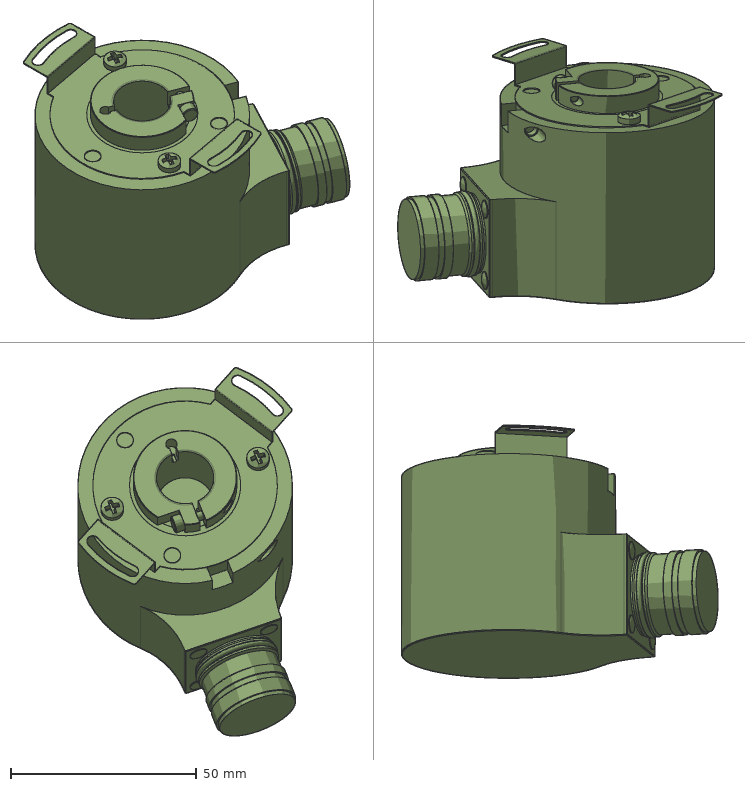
import cadquery as cq
import math


OVERSHOOT = 0.85

HOUSING_R = 29.0
HOUSING_H = 49.0
HOUSING_EDGE_CHAMFER = 0.25
SEAT_FLOOR_Z = 36.95
NOTCH_W = 5.9
NOTCH_INNER_Y = 24.75
NOTCH_FLOOR_Z = 42.9
SIDE_HOLE_R = 1.6
SIDE_HOLE_MOUTH_R = 1.95
SIDE_HOLE_MOUTH_X = -11.0
SIDE_HOLE_Y = 24.6
SIDE_HOLE_Z = 45.9
SIDE_HOLE_END_X = -8.5

BLOCK_HALF_W = 13.9
BLOCK_END_Y = 37.3
BLOCK_H = 28.05
BLOCK_BLEND_R = 22.45

PLUG_Z = 14.0
PLUG_END_Y = 55.8
PLUG_R = 10.9
PLUG_RING_R = 11.4
PLUG_FRONT_RING = (50.7, 54.65)
PLUG_MIDDLE_RING = (46.6, 49.0)
PLUG_REAR_RING = (40.8, 41.4)
PLUG_REAR_TAPER_Y = 42.0
BEAD_R = 11.7
BEAD_START_Y = 39.1
BEAD_END_Y = 40.4
PLUG_BASE_RING_Y = 38.5
PLUG_BASE_TAPER_Y = 37.8

FLANGE_SCREW_OFFSET = 10.2
FLANGE_SCREW_R = 2.45
FLANGE_SCREW_RIM_H = 0.25
FLANGE_SCREW_H = 0.9

SHEET_T = 0.3
PLATE_R = 24.9
PLATE_HOLE_R = 15.0
TAB_ANGLE = 30.0
TAB_HALF_W = 10.0
WALL_INNER = 24.75
TAB_TOP_Z = 55.5
TAB_OUTER_R = 34.9
TAB_CORNER_R = 0.7
TAB_SLOT_R = 31.5
TAB_SLOT_W = 3.2
TAB_SLOT_HALF_ANGLE = 12.7
BOLT_CIRCLE_R = 21.0
FREE_HOLE_R = 2.245
FREE_HOLE_ANGLES = (60.0, -60.0)
PLATE_TOP_Z = HOUSING_H + SHEET_T

SCREW_ANGLES = (0.0, 180.0)
SCREW_SHANK_R = 1.5
SCREW_DEPTH = 6.8
SCREW_HEAD_R = 3.05
SCREW_RIM_H = 1.6
SCREW_HEAD_H = 2.45
CROSS_L = 4.1
CROSS_W = 1.2
CROSS_DEPTH = 1.7
CROSS_TAPER = 10.0

HUB_R = 14.0
HUB_NECK_R = 12.9
HUB_TOP_Z = 54.3
HUB_CHAMFER = 0.2
BORE_R = 7.7
BORE_MOUTH_R = 8.1
BORE_MOUTH_DEPTH = 0.1
SLIT_W = 1.8
RELIEF_R = 1.48
RELIEF_Y = -10.6
FINE_SLIT_W = 0.9
FINE_SLIT_END = 9.7
FINE_SLIT_FLOOR_Z = 48.5
POCKET_X = 4.9
POCKET_Y = 8.5

CLAMP_Y = 11.0
CLAMP_Z = 51.95
CLAMP_SHANK_R = 1.3
CLAMP_END_X = -5.9
CLAMP_HEAD_R = 2.3
CLAMP_HEAD_L = 2.7
CLAMP_CHAMFER = 0.25


def box(x_range, y_range, z_range):
    """Axis-aligned box between pairs of limits."""
    size = [high - low for low, high in (x_range, y_range, z_range)]
    corner = (x_range[0], y_range[0], z_range[0])
    return cq.Workplane("XY").box(*size, centered=False).translate(corner)


def rod_z(radius, z_low, z_high, x=0.0, y=0.0):
    """Cylinder along Z."""
    return cq.Workplane("XY", origin=(x, y, z_low)).circle(radius).extrude(z_high - z_low)


def rod_x(radius, x_low, x_high, y, z):
    """Cylinder along X."""
    return cq.Workplane("YZ", origin=(x_low, y, z)).circle(radius).extrude(x_high - x_low)


def polar(radius, angle):
    """Point at a radius and an angle in degrees."""
    return (radius * math.cos(math.radians(angle)), radius * math.sin(math.radians(angle)))


def make_connector_block():
    """Block whose sides sweep into the housing in arcs tangent to both."""
    blend_x = BLOCK_HALF_W + BLOCK_BLEND_R
    reach = HOUSING_R + BLOCK_BLEND_R
    blend_y = math.sqrt(reach**2 - blend_x**2)
    foot_x = blend_x * HOUSING_R / reach
    foot_y = blend_y * HOUSING_R / reach
    mid_angle = 180 + math.degrees(math.atan2(blend_y, blend_x)) / 2
    mid_dx, mid_dy = polar(BLOCK_BLEND_R, mid_angle)
    mid_x = blend_x + mid_dx
    mid_y = blend_y + mid_dy
    return (
        cq.Workplane("XY")
        .moveTo(0, 0)
        .lineTo(foot_x, foot_y)
        .threePointArc((mid_x, mid_y), (BLOCK_HALF_W, blend_y))
        .lineTo(BLOCK_HALF_W, BLOCK_END_Y)
        .lineTo(-BLOCK_HALF_W, BLOCK_END_Y)
        .lineTo(-BLOCK_HALF_W, blend_y)
        .threePointArc((-mid_x, mid_y), (-foot_x, foot_y))
        .close()
        .extrude(BLOCK_H)
    )


def make_plug():
    """Connector barrel turned about its axis: three rings, a rounded bead and a tapered base."""
    plane = cq.Plane(origin=(0, 0, PLUG_Z), xDir=(1, 0, 0), normal=(0, 0, 1))
    front_low, front_high = PLUG_FRONT_RING
    middle_low, middle_high = PLUG_MIDDLE_RING
    rear_low, rear_high = PLUG_REAR_RING
    bead_mid_y = (BEAD_START_Y + BEAD_END_Y) / 2
    return (
        cq.Workplane(plane)
        .moveTo(0, BLOCK_END_Y - OVERSHOOT)
        .lineTo(PLUG_R, BLOCK_END_Y - OVERSHOOT)
        .lineTo(PLUG_R, PLUG_BASE_TAPER_Y)
        .lineTo(PLUG_RING_R, PLUG_BASE_RING_Y)
        .lineTo(PLUG_RING_R, BEAD_START_Y)
        .lineTo(PLUG_R, BEAD_START_Y)
        .threePointArc((BEAD_R, bead_mid_y), (PLUG_R, BEAD_END_Y))
        .lineTo(PLUG_R, rear_low)
        .lineTo(PLUG_RING_R, rear_low)
        .lineTo(PLUG_RING_R, rear_high)
        .lineTo(PLUG_R, PLUG_REAR_TAPER_Y)
        .lineTo(PLUG_R, middle_low)
        .lineTo(PLUG_RING_R, middle_low)
        .lineTo(PLUG_RING_R, middle_high)
        .lineTo(PLUG_R, middle_high)
        .lineTo(PLUG_R, front_low)
        .lineTo(PLUG_RING_R, front_low)
        .lineTo(PLUG_RING_R, front_high)
        .lineTo(PLUG_R, front_high)
        .lineTo(PLUG_R, PLUG_END_Y)
        .lineTo(0, PLUG_END_Y)
        .close()
        .revolve(360, (0, 0, 0), (0, 1, 0))
    )


def domed_disc(radius, rim_height, height):
    """Screw head on the XY plane: a rim under a spherical dome."""
    return (
        cq.Workplane("XZ")
        .lineTo(radius, 0)
        .lineTo(radius, rim_height)
        .threePointArc(dome_midpoint(radius, rim_height, height), (0, height))
        .close()
        .revolve(360, (0, 0, 0), (0, 1, 0))
    )


def dome_midpoint(radius, rim_height, height):
    """Point halfway along the arc from a dome's rim to its top."""
    rise = height - rim_height
    sphere_r = (radius**2 + rise**2) / (2 * rise)
    half_angle = math.asin(radius / sphere_r) / 2
    return (sphere_r * math.sin(half_angle), height - sphere_r * (1 - math.cos(half_angle)))


def make_flange_screw_heads():
    """Four low domed heads at the corners of the connector face."""
    heads = cq.Workplane("XY")
    head = domed_disc(FLANGE_SCREW_R, FLANGE_SCREW_RIM_H, FLANGE_SCREW_H)
    head = head.rotate((0, 0, 0), (1, 0, 0), -90)
    for x in (-FLANGE_SCREW_OFFSET, FLANGE_SCREW_OFFSET):
        for dz in (-FLANGE_SCREW_OFFSET, FLANGE_SCREW_OFFSET):
            heads = heads.add(head.translate((x, BLOCK_END_Y, PLUG_Z + dz)))
    return heads


def make_housing():
    housing = rod_z(HOUSING_R, 0, HOUSING_H).union(make_connector_block())
    housing = housing.faces("<Z or >Y").chamfer(HOUSING_EDGE_CHAMFER)
    housing = housing.union(rod_z(PLATE_HOLE_R, HOUSING_H, PLATE_TOP_Z)).union(make_plug())
    for head in make_flange_screw_heads().vals():
        housing = housing.union(cq.Workplane(head))

    notch = box(
        (-NOTCH_W / 2, NOTCH_W / 2),
        (NOTCH_INNER_Y, HOUSING_R + OVERSHOOT),
        (NOTCH_FLOOR_Z, HOUSING_H + OVERSHOOT),
    )
    side_hole = rod_x(SIDE_HOLE_R, -HOUSING_R, SIDE_HOLE_END_X, SIDE_HOLE_Y, SIDE_HOLE_Z)
    side_hole_mouth = rod_x(
        SIDE_HOLE_MOUTH_R, -HOUSING_R, SIDE_HOLE_MOUTH_X, SIDE_HOLE_Y, SIDE_HOLE_Z
    )
    hub_seat = rod_z(HUB_NECK_R, SEAT_FLOOR_Z, PLATE_TOP_Z)
    housing = housing.cut(notch).cut(side_hole).cut(side_hole_mouth).cut(hub_seat)

    for angle in SCREW_ANGLES:
        x, y = polar(BOLT_CIRCLE_R, angle)
        housing = housing.cut(rod_z(SCREW_SHANK_R, PLATE_TOP_Z - SCREW_DEPTH, HOUSING_H + OVERSHOOT, x, y))
    return housing


def make_hub():
    """Clamping ring, slit towards +Y, with a hinge relief on the -Y side."""
    hub = rod_z(HUB_R, PLATE_TOP_Z, HUB_TOP_Z).faces(">Z").chamfer(HUB_CHAMFER)
    hub = hub.union(rod_z(HUB_NECK_R, SEAT_FLOOR_Z, PLATE_TOP_Z))
    hub = hub.cut(rod_z(BORE_R, SEAT_FLOOR_Z - OVERSHOOT, HUB_TOP_Z + OVERSHOOT))
    bore_mouth = cq.Solid.makeCone(
        BORE_R, BORE_MOUTH_R, BORE_MOUTH_DEPTH, cq.Vector(0, 0, HUB_TOP_Z - BORE_MOUTH_DEPTH)
    )
    hub = hub.cut(cq.Workplane(bore_mouth))

    top = HUB_TOP_Z + OVERSHOOT
    slit = box((-SLIT_W / 2, SLIT_W / 2), (RELIEF_Y, HUB_R + OVERSHOOT), (PLATE_TOP_Z, top))
    relief = rod_z(RELIEF_R, PLATE_TOP_Z, top, 0, RELIEF_Y)
    fine_slit = box(
        (-FINE_SLIT_W / 2, FINE_SLIT_W / 2),
        (-FINE_SLIT_END, FINE_SLIT_END),
        (FINE_SLIT_FLOOR_Z, top),
    )
    pocket = box((POCKET_X, HUB_R), (POCKET_Y, HUB_R), (PLATE_TOP_Z, top))
    hub = hub.cut(slit).cut(relief).cut(fine_slit).cut(pocket)

    return hub.cut(rod_x(CLAMP_SHANK_R, -HUB_R, POCKET_X + OVERSHOOT, CLAMP_Y, CLAMP_Z))


def make_clamp_screw():
    """Screw across the hub slit, its head in the hub pocket."""
    head = rod_x(CLAMP_HEAD_R, POCKET_X, POCKET_X + CLAMP_HEAD_L, CLAMP_Y, CLAMP_Z)
    head = head.faces(">X").chamfer(CLAMP_CHAMFER)
    shank = rod_x(CLAMP_SHANK_R, CLAMP_END_X, POCKET_X, CLAMP_Y, CLAMP_Z)
    return head.union(shank.faces("<X").chamfer(CLAMP_CHAMFER))


def make_tab():
    """Raised tab on the +X side: strip of the plate, upright wall and slotted ear."""
    wall_outer = WALL_INNER + SHEET_T
    width = (-TAB_HALF_W, TAB_HALF_W)
    strip = box((PLATE_HOLE_R + OVERSHOOT, wall_outer), width, (HOUSING_H, PLATE_TOP_Z))
    wall = box((WALL_INNER, wall_outer), width, (HOUSING_H, TAB_TOP_Z))

    ear_z = TAB_TOP_Z - SHEET_T
    ear_corner_x = math.sqrt(TAB_OUTER_R**2 - TAB_HALF_W**2)
    ear = (
        cq.Workplane("XY", origin=(0, 0, ear_z))
        .moveTo(WALL_INNER, -TAB_HALF_W)
        .lineTo(ear_corner_x, -TAB_HALF_W)
        .threePointArc((TAB_OUTER_R, 0), (ear_corner_x, TAB_HALF_W))
        .lineTo(WALL_INNER, TAB_HALF_W)
        .close()
        .extrude(SHEET_T)
        .edges("|Z")
        .edges(">X")
        .fillet(TAB_CORNER_R)
    )
    tab = wall.union(ear).edges("|Y and <X and >Z").fillet(SHEET_T)
    return tab.union(strip).cut(make_tab_slot(ear_z))


def make_tab_slot(ear_z):
    """Curved slot around the shaft axis with round ends."""
    inner_r = TAB_SLOT_R - TAB_SLOT_W / 2
    outer_r = TAB_SLOT_R + TAB_SLOT_W / 2
    low, high = -TAB_SLOT_HALF_ANGLE, TAB_SLOT_HALF_ANGLE
    slot = (
        cq.Workplane("XY", origin=(0, 0, ear_z))
        .moveTo(*polar(inner_r, low))
        .threePointArc((inner_r, 0), polar(inner_r, high))
        .lineTo(*polar(outer_r, high))
        .threePointArc((outer_r, 0), polar(outer_r, low))
        .close()
        .extrude(SHEET_T)
    )
    for angle in (low, high):
        x, y = polar(TAB_SLOT_R, angle)
        slot = slot.union(rod_z(TAB_SLOT_W / 2, ear_z, TAB_TOP_Z, x, y))
    return slot


def make_bracket():
    bracket = rod_z(PLATE_R, HOUSING_H, PLATE_TOP_Z)
    for angle in (TAB_ANGLE, TAB_ANGLE + 180):
        bracket = bracket.union(make_tab().rotate((0, 0, 0), (0, 0, 1), angle))
    bracket = bracket.cut(rod_z(PLATE_HOLE_R, HOUSING_H, PLATE_TOP_Z))
    for angles, radius in ((FREE_HOLE_ANGLES, FREE_HOLE_R), (SCREW_ANGLES, SCREW_SHANK_R)):
        for angle in angles:
            x, y = polar(BOLT_CIRCLE_R, angle)
            bracket = bracket.cut(rod_z(radius, HOUSING_H, PLATE_TOP_Z, x, y))
    return bracket


def cross_outline():
    """Corners of a plus sign, one arm per quarter turn."""
    arm = CROSS_L / 2
    half = CROSS_W / 2
    corners = []
    for turn in range(4):
        for x, y in ((half, half), (half, arm), (-half, arm)):
            radius = math.hypot(x, y)
            corners.append(polar(radius, math.degrees(math.atan2(y, x)) + 90 * turn))
    return corners


def make_bracket_screw(angle):
    """Pan-head screw with a cross recess, standing on the bracket plate."""
    screw = domed_disc(SCREW_HEAD_R, SCREW_RIM_H, SCREW_HEAD_H)
    screw = screw.union(rod_z(SCREW_SHANK_R, -SCREW_DEPTH, 0))
    cross = (
        cq.Workplane("XY", origin=(0, 0, SCREW_HEAD_H))
        .polyline(cross_outline())
        .close()
        .extrude(-CROSS_DEPTH, taper=CROSS_TAPER)
    )
    screw = screw.cut(cross)
    return screw.translate((*polar(BOLT_CIRCLE_R, angle), PLATE_TOP_Z))


housing = make_housing()
hub = make_hub()
clamp_screw = make_clamp_screw()
bracket = make_bracket()
bracket_screws = [make_bracket_screw(angle) for angle in SCREW_ANGLES]

result = cq.Compound.makeCompound(
    [
        housing.val(),
        hub.val(),
        clamp_screw.val(),
        bracket.val(),
        *[screw.val() for screw in bracket_screws],
    ]
)